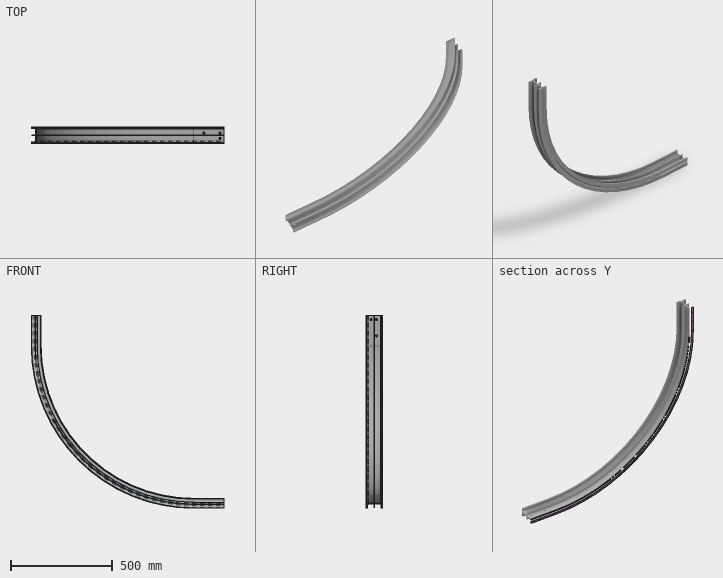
import cadquery as cq

LENGTH = 949.0
WIDTH = 83.0
DEPTH = 48.0
STRAIGHT = 150.0
OUTER_RADIUS = LENGTH - STRAIGHT
HALF_WIDTH = WIDTH / 2

WEB_OUTER = 21.0
WEB_INNER = 27.0
OUTER_WALL = 6.0
OUTER_LIP = 7.1
OUTER_LIP_HEIGHT = 13.0
INNER_WALL = 4.0
INNER_LIP = 6.0
INNER_LIP_HEIGHT = 4.0
RIB_THICKNESS = 3.0
RIB_OUTER_SETBACK = 3.0
RIB_INNER_SETBACK = 4.0

GROOVE_DEPTH = 25.0
GROOVE_RADIUS = 5.0
BACKING_WIDTH = 13.0
BACKING_RISE = 3.0
CORNER_WIDTH = 9.5
CORNER_RISE = 3.0

HOLE_DIAMETER = 8.1
HOLE_END = 21.0
HOLE_PITCH = 80.0
UPPER_ROW_Y = 10.0
LOWER_ROW_Y = -15.0


def rectangle(depth_start, depth_end, y_start, y_end):
    """Prism of one rectangle of the cross-section (X is depth), as long as a straight run."""
    corner = (min(depth_start, depth_end), min(y_start, y_end), 0)
    size = (abs(depth_end - depth_start), abs(y_end - y_start), STRAIGHT)
    return cq.Workplane("XY").box(*size, centered=False).translate(corner)


def polygon(points):
    """Prism of one polygon of the cross-section, given as (depth, y) points."""
    return cq.Workplane("XY").polyline(points).close().extrude(STRAIGHT)


def side_wall(side):
    """Side wall with a lip at both tips; side is +1 for the +Y wall and -1 for the -Y wall."""
    face = side * HALF_WIDTH
    wall = rectangle(0, WEB_INNER, face, face - side * OUTER_WALL)
    wall = wall.union(rectangle(WEB_OUTER, DEPTH, face, face - side * INNER_WALL))
    wall = wall.union(rectangle(0, OUTER_LIP_HEIGHT, face, face - side * OUTER_LIP))
    return wall.union(rectangle(DEPTH - INNER_LIP_HEIGHT, DEPTH, face, face - side * INNER_LIP))


def groove_backing():
    """Thick corner between the web and the -Y wall, with a sloping flank on each side of the web."""
    return polygon([
        (WEB_OUTER, BACKING_WIDTH - HALF_WIDTH),
        (WEB_INNER, BACKING_WIDTH - HALF_WIDTH),
        (WEB_INNER + BACKING_RISE, INNER_WALL - HALF_WIDTH),
        (WEB_INNER + BACKING_RISE, -HALF_WIDTH),
        (WEB_OUTER - BACKING_RISE, -HALF_WIDTH),
        (WEB_OUTER - BACKING_RISE, OUTER_WALL - HALF_WIDTH),
    ])


def inner_corner():
    """Sloping corner between the web and the inner side of the +Y wall."""
    return polygon([
        (WEB_INNER, HALF_WIDTH),
        (WEB_INNER, HALF_WIDTH - CORNER_WIDTH),
        (WEB_INNER + CORNER_RISE, HALF_WIDTH - INNER_WALL),
        (WEB_INNER + CORNER_RISE, HALF_WIDTH),
    ])


def straight_rail():
    """Straight run standing on Z = 0 with its outer edge at X = 0, without bolt holes."""
    rail = rectangle(WEB_OUTER, WEB_INNER, -HALF_WIDTH, HALF_WIDTH)
    rail = rail.union(
        rectangle(RIB_OUTER_SETBACK, DEPTH - RIB_INNER_SETBACK, -RIB_THICKNESS / 2, RIB_THICKNESS / 2)
    )
    for side in (-1, 1):
        rail = rail.union(side_wall(side))
    rail = rail.union(groove_backing()).union(inner_corner())
    groove = (
        cq.Workplane("XY")
        .center(GROOVE_DEPTH, -HALF_WIDTH)
        .circle(GROOVE_RADIUS)
        .extrude(STRAIGHT)
    )
    return rail.cut(groove).clean()


def drill_holes(rail):
    """Two holes on the +Y side of the rib and one on the -Y side, next to the rail end at the top."""
    first_z = STRAIGHT - HOLE_END
    hole_places = [
        (UPPER_ROW_Y, first_z),
        (UPPER_ROW_Y, first_z - HOLE_PITCH),
        (LOWER_ROW_Y, first_z),
    ]
    holes = cq.Workplane("YZ").pushPoints(hole_places).circle(HOLE_DIAMETER / 2).extrude(DEPTH)
    return rail.cut(holes)


def quarter_bend(rail):
    """Sweep the rail's lower end face a quarter turn about the bend centre."""
    section = rail.faces("<Z").val()
    axis_start = cq.Vector(OUTER_RADIUS, 0, 0)
    axis_end = cq.Vector(OUTER_RADIUS, -9.5, 0)
    return cq.Workplane(
        cq.Solid.revolve(section.outerWire(), section.innerWires(), 90, axis_start, axis_end)
    )


plain_rail = straight_rail()
drilled_rail = drill_holes(plain_rail)

bend = quarter_bend(plain_rail).translate((0, 0, OUTER_RADIUS))
upright_leg = drilled_rail.translate((0, 0, OUTER_RADIUS))
lying_leg = (
    drilled_rail.mirror("XY").rotate((0, 0, 0), (0, 1, 0), -90).translate((OUTER_RADIUS, 0, 0))
)

result = bend.union(upright_leg).union(lying_leg)